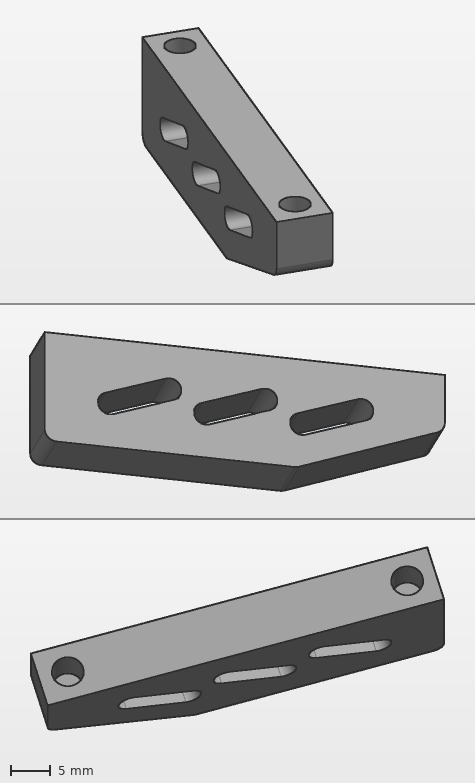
import cadquery as cq

length = 52.0
thickness = 7.5
height = 15.0

slope_start = 32.75
slope_end_z = 7.3
corner_radius = 1.5

slot_angle = 20.0
slot_count = 3
slot_pitch = 12.5
first_slot_x = 12.3
slot_z = 7.5
slot_width = 3.0
slot_center_distance = 8.3
slot_length = slot_center_distance + slot_width

hole_diameter = 4.0
hole_depth = 5.0
hole_end_distance = 3.75


def make_body():
    """Bar with a sloped underside and rounded lower corners."""
    body = (
        cq.Workplane("XZ")
        .moveTo(0, 0)
        .lineTo(slope_start, 0)
        .lineTo(length, slope_end_z)
        .lineTo(length, height)
        .lineTo(0, height)
        .close()
        .extrude(-thickness)
    )
    lower_edges = cq.selectors.BoxSelector(
        (-0.5, -0.5, -0.5), (length + 0.5, thickness + 0.5, slope_end_z + 0.5)
    )
    return body.edges("|Y").edges(lower_edges).fillet(corner_radius)


def make_slots():
    """Row of equally spaced slanted slot cutters."""
    centers = [(first_slot_x + i * slot_pitch, slot_z) for i in range(slot_count)]
    return (
        cq.Workplane("XZ")
        .pushPoints(centers)
        .slot2D(slot_length, slot_width, slot_angle)
        .extrude(-thickness)
    )


def make_holes():
    """Vertical hole cutters, one near each end of the top face."""
    centers = [(x, thickness / 2) for x in (hole_end_distance, length - hole_end_distance)]
    return (
        cq.Workplane("XY")
        .workplane(offset=height)
        .pushPoints(centers)
        .circle(hole_diameter / 2)
        .extrude(-hole_depth)
    )


result = make_body().cut(make_slots()).cut(make_holes())